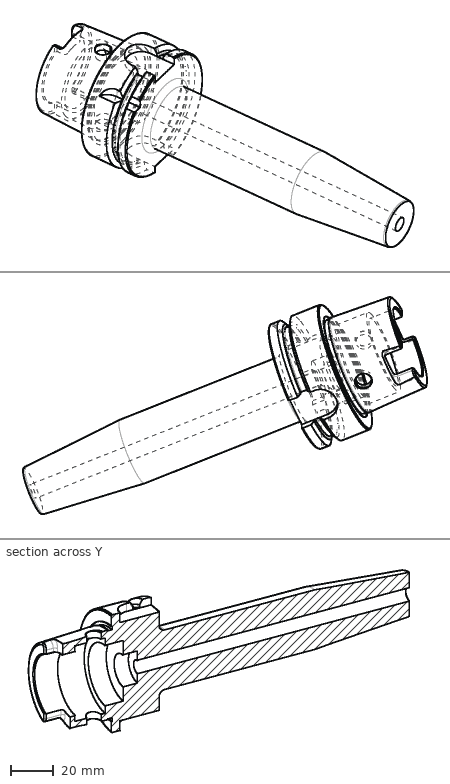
import cadquery as cq
import math

LENGTH = 192.0

TAPER_LENGTH = 29.5
TAPER_SMALL_RADIUS = 22.8
TAPER_LARGE_RADIUS = 24.0
RIM_CHAMFER_LENGTH = 0.5
RIM_CHAMFER_DEPTH = 1.0
RELIEF_START = 30.3
RELIEF_RADIUS = 23.6

FLANGE_START = 32.0
FLANGE_END = 58.0
FLANGE_RADIUS = 63.0 / 2
FLANGE_CHAMFER = 0.5
FACE_RECESS_RADIUS = 25.3
FACE_RECESS_DEPTH = 0.4
GROOVE_CENTER = 50.0
GROOVE_OPENING = 6.5
GROOVE_FLOOR_WIDTH = 3.5
GROOVE_WALL_RADIUS = 29.0
GROOVE_FLOOR_RADIUS = 27.5
GROOVE_FLOOR_FILLET = 0.5

NOSE_RADIUS = 32.0 / 2
NOSE_FILLET = 2.9
NOSE_TAPER_START = 141.1
TIP_RADIUS = 24.0 / 2
TIP_CHAMFER_LENGTH = 1.0
TIP_CHAMFER_DEPTH = 0.4

MOUTH_RADIUS = 34.0 / 2
MOUTH_CHAMFER = 0.5
MOUTH_LENGTH = 12.9
CLAMP_RADIUS = 40.0 / 2
CLAMP_END = 28.8
POCKET_RADIUS = 32.0 / 2
POCKET_END = 38.4
SEAT_RADIUS = 16.9 / 2
SEAT_END = 46.0
COOLANT_RADIUS = 7.0 / 2

DRIVE_WIDTH = 12.5
DRIVE_DEPTH_TOP = 6.0
DRIVE_DEPTH_BOTTOM = 10.0
DRIVE_FLOOR_FILLET = 1.5
DRIVE_RIM_CHAMFER = 0.8
CHAMFER_ANGLE = 45
DRIVE_FLARE_RADIUS = 2.9
DRIVE_FLARE_START = 18.2

CROSS_HOLE_X = 22.8
CROSS_HOLE_RADIUS = 7.5 / 2
CROSS_HOLE_MOUTH_RADIUS = 8.8 / 2

KEYWAY_WIDTH = 15.5
KEYWAY_START = 36.9
KEYWAY_FLOOR = 26.3
NOTCH_SIDE = 20.2
NOTCH_FLOOR = 19.8

CLEARANCE = 2.0


def revolve_about_x(profile):
    return profile.close().revolve(360, (0, 0, 0), (1, 0, 0))


def turned_body():
    half_opening = GROOVE_OPENING / 2
    half_floor = GROOVE_FLOOR_WIDTH / 2
    floor_edge = half_floor - GROOVE_FLOOR_FILLET
    fillet_bulge = NOSE_FILLET * (1 - math.sqrt(0.5))
    profile = (
        cq.Workplane("XY")
        .lineTo(0, TAPER_SMALL_RADIUS - RIM_CHAMFER_DEPTH)
        .lineTo(RIM_CHAMFER_LENGTH, TAPER_SMALL_RADIUS)
        .lineTo(TAPER_LENGTH, TAPER_LARGE_RADIUS)
        .lineTo(RELIEF_START, TAPER_LARGE_RADIUS)
        .lineTo(RELIEF_START, RELIEF_RADIUS)
        .lineTo(FLANGE_START + FACE_RECESS_DEPTH, RELIEF_RADIUS)
        .lineTo(FLANGE_START + FACE_RECESS_DEPTH, FACE_RECESS_RADIUS)
        .lineTo(FLANGE_START, FACE_RECESS_RADIUS)
        .lineTo(FLANGE_START, FLANGE_RADIUS - FLANGE_CHAMFER)
        .lineTo(FLANGE_START + FLANGE_CHAMFER, FLANGE_RADIUS)
        .lineTo(GROOVE_CENTER - half_opening, FLANGE_RADIUS)
        .lineTo(GROOVE_CENTER - half_floor, GROOVE_WALL_RADIUS)
        .lineTo(GROOVE_CENTER - half_floor, GROOVE_FLOOR_RADIUS + GROOVE_FLOOR_FILLET)
        .radiusArc((GROOVE_CENTER - floor_edge, GROOVE_FLOOR_RADIUS), -GROOVE_FLOOR_FILLET)
        .lineTo(GROOVE_CENTER + floor_edge, GROOVE_FLOOR_RADIUS)
        .radiusArc(
            (GROOVE_CENTER + half_floor, GROOVE_FLOOR_RADIUS + GROOVE_FLOOR_FILLET),
            -GROOVE_FLOOR_FILLET,
        )
        .lineTo(GROOVE_CENTER + half_floor, GROOVE_WALL_RADIUS)
        .lineTo(GROOVE_CENTER + half_opening, FLANGE_RADIUS)
        .lineTo(FLANGE_END - FLANGE_CHAMFER, FLANGE_RADIUS)
        .lineTo(FLANGE_END, FLANGE_RADIUS - FLANGE_CHAMFER)
        .lineTo(FLANGE_END, NOSE_RADIUS + NOSE_FILLET)
        .threePointArc(
            (FLANGE_END + fillet_bulge, NOSE_RADIUS + fillet_bulge),
            (FLANGE_END + NOSE_FILLET, NOSE_RADIUS),
        )
        .lineTo(NOSE_TAPER_START, NOSE_RADIUS)
        .lineTo(LENGTH - TIP_CHAMFER_LENGTH, TIP_RADIUS)
        .lineTo(LENGTH, TIP_RADIUS - TIP_CHAMFER_DEPTH)
        .lineTo(LENGTH, 0)
    )
    return revolve_about_x(profile)


def stepped_bore():
    profile = (
        cq.Workplane("XY")
        .lineTo(0, MOUTH_RADIUS + MOUTH_CHAMFER)
        .lineTo(MOUTH_CHAMFER, MOUTH_RADIUS)
        .lineTo(MOUTH_LENGTH, MOUTH_RADIUS)
        .lineTo(MOUTH_LENGTH, CLAMP_RADIUS)
        .lineTo(CLAMP_END, CLAMP_RADIUS)
        .lineTo(CLAMP_END, POCKET_RADIUS)
        .lineTo(POCKET_END, POCKET_RADIUS)
        .lineTo(POCKET_END, SEAT_RADIUS)
        .lineTo(SEAT_END, SEAT_RADIUS)
        .lineTo(SEAT_END, COOLANT_RADIUS)
        .lineTo(LENGTH, COOLANT_RADIUS)
        .lineTo(LENGTH, 0)
    )
    return revolve_about_x(profile)


def drive_slot_section(growth):
    """Slot section across X, its walls flaring outward near the shank surface, grown by an offset."""
    half_width = DRIVE_WIDTH / 2 + growth
    flare_radius = DRIVE_FLARE_RADIUS - growth
    flare_half_width = half_width + flare_radius
    flare_top = DRIVE_FLARE_START + flare_radius
    outer_half_width = flare_half_width + CLEARANCE
    outer_z = TAPER_LARGE_RADIUS + CLEARANCE
    return (
        cq.Workplane("YZ")
        .moveTo(-half_width, 0)
        .lineTo(-half_width, DRIVE_FLARE_START)
        .radiusArc((-flare_half_width, flare_top), -flare_radius)
        .lineTo(-outer_half_width, flare_top)
        .lineTo(-outer_half_width, outer_z)
        .lineTo(outer_half_width, outer_z)
        .lineTo(outer_half_width, flare_top)
        .lineTo(flare_half_width, flare_top)
        .radiusArc((half_width, DRIVE_FLARE_START), -flare_radius)
        .lineTo(half_width, 0)
        .close()
    )


def drive_slot(depth):
    """Slot on the +Z side with filleted floor edges and chamfered rim edges."""
    slot = drive_slot_section(0).extrude(depth).faces(">X").edges().fillet(DRIVE_FLOOR_FILLET)
    rim_chamfer = drive_slot_section(DRIVE_RIM_CHAMFER).extrude(DRIVE_RIM_CHAMFER, taper=CHAMFER_ANGLE)
    return slot.union(rim_chamfer)


def cross_hole():
    """Hole along Z through both walls, with a small countersink at each outer mouth."""
    outer_z = TAPER_LARGE_RADIUS
    mouth_depth = CROSS_HOLE_MOUTH_RADIUS - CROSS_HOLE_RADIUS
    profile = (
        cq.Workplane("XZ", origin=(CROSS_HOLE_X, 0, 0))
        .moveTo(0, -outer_z)
        .lineTo(CROSS_HOLE_MOUTH_RADIUS, -outer_z)
        .lineTo(CROSS_HOLE_RADIUS, mouth_depth - outer_z)
        .lineTo(CROSS_HOLE_RADIUS, outer_z - mouth_depth)
        .lineTo(CROSS_HOLE_MOUTH_RADIUS, outer_z)
        .lineTo(0, outer_z)
    )
    return profile.close().revolve(360, (0, 0, 0), (0, 1, 0))


def round_ended_slot(center_y, floor_z):
    """Slot milled from +Z, with a round closed end and open at the nose side of the flange."""
    half_width = KEYWAY_WIDTH / 2
    straight_start = KEYWAY_START + half_width
    return (
        cq.Workplane("XY", origin=(0, center_y, floor_z))
        .moveTo(FLANGE_END, -half_width)
        .lineTo(straight_start, -half_width)
        .threePointArc((KEYWAY_START, 0), (straight_start, half_width))
        .lineTo(FLANGE_END, half_width)
        .close()
        .extrude(FLANGE_RADIUS)
    )


def turned_over(tool):
    return tool.rotate((0, 0, 0), (1, 0, 0), 180)


keyway = round_ended_slot(0, KEYWAY_FLOOR)
orientation_notch = round_ended_slot(-NOTCH_SIDE - KEYWAY_WIDTH / 2, NOTCH_FLOOR)

result = (
    turned_body()
    .cut(stepped_bore())
    .cut(drive_slot(DRIVE_DEPTH_TOP))
    .cut(turned_over(drive_slot(DRIVE_DEPTH_BOTTOM)))
    .cut(cross_hole())
    .cut(keyway)
    .cut(turned_over(keyway))
    .cut(orientation_notch)
)